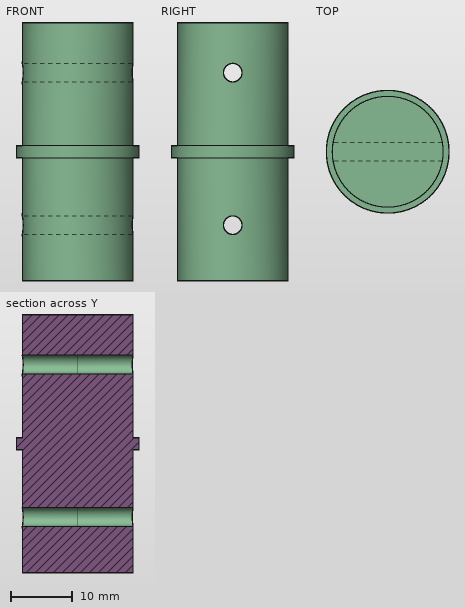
import cadquery as cq

total_length = 42.0
body_diameter = 18.0
collar_diameter = 20.0
collar_thickness = 2.0
hole_diameter = 3.0
lower_hole_height = 9.07
upper_hole_height = 33.85

collar_bottom = (total_length - collar_thickness) / 2

body = cq.Workplane("XY").circle(body_diameter / 2).extrude(total_length)
collar = (
    cq.Workplane("XY")
    .workplane(offset=collar_bottom)
    .circle(collar_diameter / 2)
    .extrude(collar_thickness)
)


def cross_hole(height):
    """Cutter for a pin hole along X, right through the body at the given height."""
    return (
        cq.Workplane("YZ")
        .center(0, height)
        .circle(hole_diameter / 2)
        .extrude(collar_diameter / 2, both=True)
    )


result = body.union(collar)
for hole_height in (lower_hole_height, upper_hole_height):
    result = result.cut(cross_hole(hole_height))